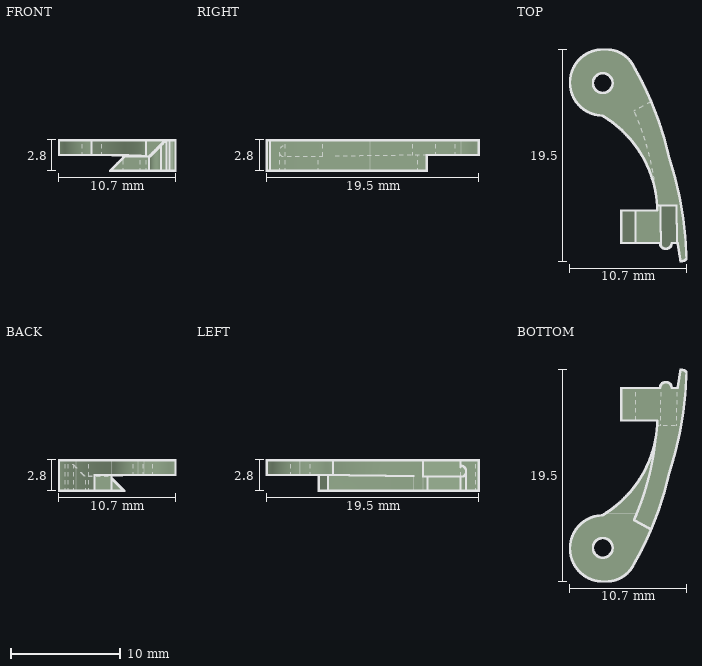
import cadquery as cq

total_height = 2.8
head_underside = 1.45
catch_top = 1.32
underside_slope_start = 13.24

pivot = (3.02, 16.37)
pivot_diameter = 1.8
head_top = (3.21, 19.47)
head_left = (0.0, 16.4)
head_heel = (3.0, 13.38)
head_shoulder = (5.9, 17.83)
back_middle = (9.13, 9.48)
arm_inner_end = (8.0, 5.14)

tip_outer = (10.7, 0.3)
tip_inner = (10.15, 0.0)
tip_corner_start = (10.4, 0.05)

shoulder_bend = (4.77, 19.08)
upper_back_bend = (7.7, 14.14)
lower_back_bend = (10.2, 5.25)
tip_corner_bend = (10.6, 0.15)
inner_edge_bend = (6.2, 10.4)

catch_left = 4.71
catch_front = 1.7
catch_back = 4.71
tip_root = (9.87, catch_front)

nose_center = (8.8, 1.71)
nose_radius = 0.55

step_back = arm_inner_end[1]
step_foot_back = 8.3
step_foot_front = 8.35
step_overcut = 0.97

wall_inner_start = (5.88, 13.82)
wall_inner_middle = (6.87, 11.2)
wall_outer_start = (7.9, 14.93)


def arm_outline():
    """Full plan outline of the arm, without the catch's left block."""
    return (
        cq.Workplane("XY")
        .moveTo(*head_heel)
        .threePointArc(head_left, head_top)
        .threePointArc(shoulder_bend, head_shoulder)
        .threePointArc(upper_back_bend, back_middle)
        .threePointArc(lower_back_bend, tip_outer)
        .threePointArc(tip_corner_bend, tip_corner_start)
        .lineTo(*tip_inner)
        .lineTo(*tip_root)
        .lineTo(arm_inner_end[0], catch_front)
        .lineTo(*arm_inner_end)
        .threePointArc(inner_edge_bend, head_heel)
        .close()
        .extrude(total_height)
    )


def plate_envelope():
    """Side profile of the plate, whose underside dips towards the catch."""
    return (
        cq.Workplane("YZ")
        .polyline([
            (0, catch_top),
            (catch_back, catch_top),
            (underside_slope_start, head_underside),
            (head_top[1], head_underside),
            (head_top[1], total_height),
            (0, total_height),
        ])
        .close()
        .extrude(tip_outer[0])
    )


def wall_envelope():
    """Plan region that the wall under the arm fills."""
    return (
        cq.Workplane("XY")
        .moveTo(*wall_inner_start)
        .threePointArc(wall_inner_middle, (arm_inner_end[0], catch_back))
        .lineTo(arm_inner_end[0], 0)
        .lineTo(tip_outer[0], 0)
        .lineTo(tip_outer[0], wall_outer_start[1])
        .lineTo(*wall_outer_start)
        .close()
        .extrude(total_height)
    )


def catch():
    """Block with a 45 degree lead-in face on its left."""
    return (
        cq.Workplane("XZ", origin=(0, catch_back, 0))
        .polyline([
            (catch_left, 0),
            (catch_left + catch_top, catch_top),
            (nose_center[0], catch_top),
            (nose_center[0], 0),
        ])
        .close()
        .extrude(catch_back - catch_front)
    )


def nose():
    return cq.Workplane("XY").center(*nose_center).circle(nose_radius).extrude(total_height)


def step_cutter():
    """Space above the catch, left of the sloped face."""
    front = catch_front - step_overcut
    foot_drift = (step_foot_front - step_foot_back) / (step_back - catch_front)
    foot_front = step_foot_front + foot_drift * step_overcut
    rise = total_height - catch_top

    def section(y, foot):
        return cq.Wire.makePolygon([
            cq.Vector(catch_left, y, catch_top),
            cq.Vector(foot, y, catch_top),
            cq.Vector(foot + rise, y, total_height),
            cq.Vector(catch_left, y, total_height),
        ], close=True)

    solid = cq.Solid.makeLoft([section(step_back, step_foot_back), section(front, foot_front)], True)
    return cq.Workplane("XY").add(solid)


arm = arm_outline()
plate = arm.intersect(plate_envelope())
wall = arm.intersect(wall_envelope())
pivot_hole = cq.Workplane("XY").center(*pivot).circle(pivot_diameter / 2).extrude(total_height)

result = plate.union(wall).union(nose()).cut(step_cutter()).union(catch()).cut(pivot_hole)